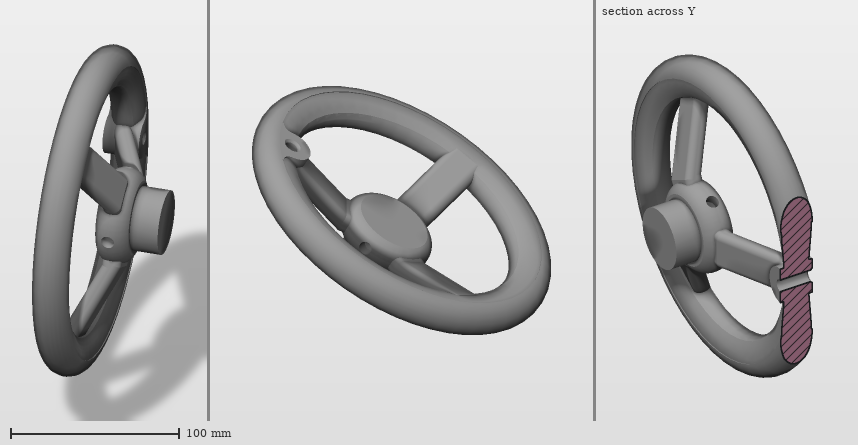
import cadquery as cq
import math


WHEEL_RADIUS = 100.0
RIM_WIDTH = 22.4
RIM_MID_X = RIM_WIDTH / 2
RIM_SEAM_RADIUS = WHEEL_RADIUS - RIM_WIDTH / 2
RIM_STEP = 0.5
RIM_EDGE_X = 5.2
RIM_EDGE_RADIUS = 76.0
RIM_BORE_RADIUS = 74.0
RIM_BULGE_X = 2.0
RIM_BULGE_RADIUS = 82.0

HUB_RADIUS = 29.2
HUB_FACE_X = 20.4
HUB_FACE_RADIUS = 22.5
HUB_SEAM_X = 29.8
HUB_BACK_X = 40.8
HUB_ARC_X_SHARE = 0.3
HUB_ARC_RADIUS_SHARE = 0.65
BOSS_DIAMETER = 39.0
WHEEL_DEPTH = 58.0

HUB_HOLE_DIAMETER = 8.0
HUB_HOLE_DEPTH = 8.0
DRILL_TIP_DEPTH = 2.4

SPOKE_COUNT = 3
SPOKE_PITCH = 360 / SPOKE_COUNT
SPOKE_WIDTH = 24.2
SPOKE_FRONT_EDGE_RADIUS = 5.2
SPOKE_BACK_EDGE_RADIUS = 4.0
SPOKE_ROOT_RADIUS = 30.0
SPOKE_START_RADIUS = 16.0
SPOKE_ROOT_FRONT_X = 24.4
SPOKE_ROOT_BACK_X = 36.0
SPOKE_TIP_RADIUS = 79.8
SPOKE_SLOPE = 0.44
FACING_LIMIT = 0.5

LUG_CENTER_Y = 80.0
LUG_RADIUS = 12.2
LUG_BLEND_RADIUS = 6.0
HANDLE_HOLE_DIAMETER = 8.0
HANDLE_HOLE_CHAMFER = 1.4


def revolve_about_x(profile):
    return profile.close().revolve(360, (0, 0, 0), (1, 0, 0))


def make_rim():
    outer = revolve_about_x(
        cq.Workplane("XY")
        .moveTo(0, RIM_SEAM_RADIUS)
        .threePointArc((RIM_MID_X, WHEEL_RADIUS), (RIM_WIDTH, RIM_SEAM_RADIUS))
    )
    inner = revolve_about_x(
        cq.Workplane("XY")
        .moveTo(RIM_STEP, RIM_SEAM_RADIUS)
        .threePointArc((RIM_BULGE_X, RIM_BULGE_RADIUS), (RIM_EDGE_X, RIM_EDGE_RADIUS))
        .threePointArc(
            (RIM_MID_X, RIM_BORE_RADIUS),
            (RIM_WIDTH - RIM_EDGE_X, RIM_EDGE_RADIUS),
        )
        .threePointArc(
            (RIM_WIDTH - RIM_BULGE_X, RIM_BULGE_RADIUS),
            (RIM_WIDTH - RIM_STEP, RIM_SEAM_RADIUS),
        )
    )
    return outer.union(inner)


def hub_arc_middle(end_x, end_radius):
    """Point on the rounded hub edge between an end face and the widest section."""
    return (
        end_x + HUB_ARC_X_SHARE * (HUB_SEAM_X - end_x),
        end_radius + HUB_ARC_RADIUS_SHARE * (HUB_RADIUS - end_radius),
    )


def make_hub():
    boss_radius = BOSS_DIAMETER / 2
    return revolve_about_x(
        cq.Workplane("XY")
        .moveTo(HUB_FACE_X, 0)
        .lineTo(HUB_FACE_X, HUB_FACE_RADIUS)
        .threePointArc(hub_arc_middle(HUB_FACE_X, HUB_FACE_RADIUS), (HUB_SEAM_X, HUB_RADIUS))
        .threePointArc(hub_arc_middle(HUB_BACK_X, HUB_FACE_RADIUS), (HUB_BACK_X, HUB_FACE_RADIUS))
        .lineTo(HUB_BACK_X, boss_radius)
        .lineTo(WHEEL_DEPTH, boss_radius)
        .lineTo(WHEEL_DEPTH, 0)
    )


def long_edges(bar, side):
    """Lengthwise edges of the spoke's front (side -1) or back (side 1) faces."""
    edges = []
    for face in bar.faces("%PLANE").vals():
        if face.normalAt().x * side > FACING_LIMIT:
            edges += cq.Workplane(face).edges("#Z").vals()
    return edges


def make_spoke():
    """Spoke along +Y; its front and back long edges are rounded separately."""
    drop = SPOKE_SLOPE * (SPOKE_TIP_RADIUS - SPOKE_ROOT_RADIUS)
    bar = (
        cq.Workplane("XY")
        .moveTo(SPOKE_ROOT_FRONT_X, SPOKE_START_RADIUS)
        .lineTo(SPOKE_ROOT_FRONT_X, SPOKE_ROOT_RADIUS)
        .lineTo(SPOKE_ROOT_FRONT_X - drop, SPOKE_TIP_RADIUS)
        .lineTo(SPOKE_ROOT_BACK_X - drop, SPOKE_TIP_RADIUS)
        .lineTo(SPOKE_ROOT_BACK_X, SPOKE_ROOT_RADIUS)
        .lineTo(SPOKE_ROOT_BACK_X, SPOKE_START_RADIUS)
        .close()
        .extrude(SPOKE_WIDTH / 2, both=True)
    )
    front = long_edges(bar, -1)
    rounded = bar.newObject(front).fillet(SPOKE_FRONT_EDGE_RADIUS)
    back = long_edges(rounded, 1)
    return rounded.newObject(back).fillet(SPOKE_BACK_EDGE_RADIUS)


def make_lug():
    """Plate filling the inner half of the rim around the handle hole."""
    blend_y = LUG_CENTER_Y + LUG_BLEND_RADIUS
    blend_z = LUG_RADIUS + LUG_BLEND_RADIUS
    mid_y = LUG_CENTER_Y + LUG_BLEND_RADIUS * math.sin(math.pi / 4)
    mid_z = blend_z - LUG_BLEND_RADIUS * math.cos(math.pi / 4)
    plate = (
        cq.Workplane("YZ")
        .moveTo(LUG_CENTER_Y, -LUG_RADIUS)
        .threePointArc((LUG_CENTER_Y - LUG_RADIUS, 0), (LUG_CENTER_Y, LUG_RADIUS))
        .threePointArc((mid_y, mid_z), (blend_y, blend_z))
        .lineTo(WHEEL_RADIUS, blend_z)
        .lineTo(WHEEL_RADIUS, -blend_z)
        .lineTo(blend_y, -blend_z)
        .threePointArc((mid_y, -mid_z), (LUG_CENTER_Y, -LUG_RADIUS))
        .close()
        .extrude(RIM_WIDTH)
    )
    seam_disc = cq.Workplane("YZ").circle(RIM_SEAM_RADIUS).extrude(RIM_WIDTH)
    return plate.intersect(seam_disc)


def make_handle_hole():
    hole_radius = HANDLE_HOLE_DIAMETER / 2
    hole = cq.Workplane("YZ").center(LUG_CENTER_Y, 0).circle(hole_radius).extrude(RIM_WIDTH)
    mouth = cq.Solid.makeCone(
        hole_radius + HANDLE_HOLE_CHAMFER,
        hole_radius,
        HANDLE_HOLE_CHAMFER,
        cq.Vector(0, LUG_CENTER_Y, 0),
        cq.Vector(1, 0, 0),
    )
    return hole.union(cq.Workplane(mouth))


def make_hub_hole():
    """Drilled hole entering the hub from -Y."""
    hole_radius = HUB_HOLE_DIAMETER / 2
    floor_y = HUB_HOLE_DEPTH - HUB_RADIUS
    return (
        cq.Workplane("XY")
        .moveTo(HUB_SEAM_X, -WHEEL_RADIUS / 2)
        .lineTo(HUB_SEAM_X + hole_radius, -WHEEL_RADIUS / 2)
        .lineTo(HUB_SEAM_X + hole_radius, floor_y)
        .lineTo(HUB_SEAM_X, floor_y + DRILL_TIP_DEPTH)
        .close()
        .revolve(360, (HUB_SEAM_X, 0, 0), (HUB_SEAM_X, 1, 0))
    )


def around_wheel(body, index):
    return body.rotate((0, 0, 0), (1, 0, 0), index * SPOKE_PITCH)


spoke = make_spoke()
hub_hole = make_hub_hole()

result = make_rim().union(make_hub())
for index in range(SPOKE_COUNT):
    result = result.union(around_wheel(spoke, index))
result = result.union(make_lug())
for index in range(SPOKE_COUNT):
    result = result.cut(around_wheel(hub_hole, index))
result = result.cut(make_handle_hole())